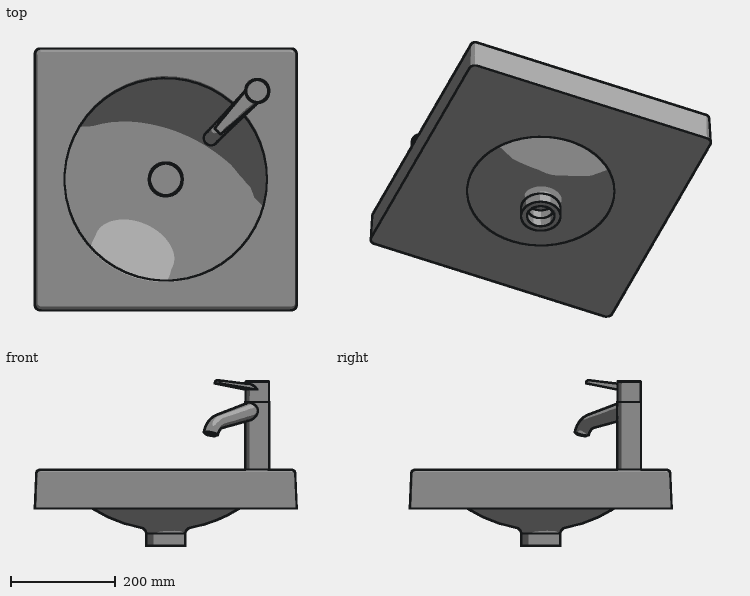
import cadquery as cq
import math


BASIN_SIDE = 500.0
BASIN_HEIGHT = 74.0
SIDE_DRAFT = 2.5
CORNER_RADIUS = 12.0
DECK_FILLET = 7.5

RIM_DIAMETER = 398.0
RIM_ROUND = 6.0
SEAT_DIAMETER = 65.0
SEAT_Z = -100.0
SHELL_CENTRE_Z = 146.0
SHELL_RADIUS = 261.0

PIPE_DIAMETER = 75.0
BORE_DIAMETER = 52.0
NECK_TOP_RADIUS = 47.0
PIPE_TOP_Z = -122.0
PIPE_BOTTOM_Z = -145.0
STOPPER_TOP_DIAMETER = 60.0
STOPPER_WALL = 1.5
STOPPER_BEVEL_HEIGHT = 2.0
STOPPER_DOME_HEIGHT = 3.0

TAP_X = 174.5
TAP_Y = 168.5
TAP_HEADING = 225.5
COLUMN_DIAMETER = 46.0
CAP_DIAMETER = 45.0
CAP_BOTTOM_Z = 129.0
TAP_TOP_Z = 169.0
CAP_CHAMFER = 1.5

SPOUT_ROOT_DIAMETER = 35.0
SPOUT_DIAMETER = 27.5
SPOUT_ROOT_Z = 116.0
ELBOW_START_REACH = 101.5
ELBOW_START_Z = 92.5
ELBOW_END_REACH = 126.5
ELBOW_END_Z = 69.0
AERATOR_DIAMETER = 20.0
AERATOR_LENGTH = 6.5
AERATOR_PROJECTION = 2.5

LEVER_ROOT_WIDTH = 35.0
LEVER_TIP_WIDTH = 16.0
LEVER_ROOT_THICKNESS = 11.0
LEVER_TIP_THICKNESS = 6.5
LEVER_ROOT_Z = 150.5
LEVER_REACH = 108.0
LEVER_TOP_Z = 171.0

spout_drop = ELBOW_START_Z - SPOUT_ROOT_Z
arm_length = math.hypot(ELBOW_START_REACH, spout_drop)
arm_angle = math.atan2(spout_drop, ELBOW_START_REACH)
arm_direction = cq.Vector(math.cos(arm_angle), 0, math.sin(arm_angle))
chord_angle = math.atan2(ELBOW_END_Z - ELBOW_START_Z, ELBOW_END_REACH - ELBOW_START_REACH)
outlet_angle = 2 * chord_angle - arm_angle
outlet_direction = cq.Vector(math.cos(outlet_angle), 0, math.sin(outlet_angle))
elbow_start = cq.Vector(ELBOW_START_REACH, 0, ELBOW_START_Z)
elbow_end = cq.Vector(ELBOW_END_REACH, 0, ELBOW_END_Z)


def sphere_depth(radius):
    """Height of the bowl's spherical underside at a distance from its axis."""
    return SHELL_CENTRE_Z - math.sqrt(SHELL_RADIUS**2 - radius**2)


def place_tap(part):
    """Turn a part built along +X about the Z axis to its place on the deck."""
    return part.rotate((0, 0, 0), (0, 0, 1), TAP_HEADING).translate((TAP_X, TAP_Y, 0))


def spin(profile):
    """Revolve a closed radius-height profile about the Z axis."""
    return profile.close().revolve(360, (0, 0, 0), (0, 1, 0))


def make_block():
    footprint = cq.Sketch().rect(BASIN_SIDE, BASIN_SIDE).vertices().fillet(CORNER_RADIUS)
    block = cq.Workplane("XY", origin=(0, 0, -BASIN_HEIGHT)).placeSketch(footprint)
    return block.extrude(BASIN_HEIGHT, taper=SIDE_DRAFT).faces(">Z").edges().fillet(DECK_FILLET)


def make_underside():
    """Dome below the block, curving into the neck above the drain pipe."""
    top_z = -BASIN_HEIGHT / 2
    top_radius = math.sqrt(SHELL_RADIUS**2 - (SHELL_CENTRE_Z - top_z) ** 2)
    middle_radius = (top_radius + NECK_TOP_RADIUS) / 2
    pipe_radius = PIPE_DIAMETER / 2
    profile = (
        cq.Workplane("XZ")
        .moveTo(0, top_z)
        .lineTo(top_radius, top_z)
        .threePointArc(
            (middle_radius, sphere_depth(middle_radius)),
            (NECK_TOP_RADIUS, sphere_depth(NECK_TOP_RADIUS)),
        )
        .tangentArcPoint((pipe_radius, PIPE_TOP_Z), relative=False)
        .lineTo(0, PIPE_TOP_Z)
    )
    return spin(profile)


def make_bowl_cavity():
    """Spherical hollow with a rounded rim, a flat stopper seat and the drain bore."""
    rim_radius = RIM_DIAMETER / 2
    wall_radius = rim_radius - RIM_ROUND
    seat_radius = SEAT_DIAMETER / 2
    bore_radius = BORE_DIAMETER / 2
    centre_z = (wall_radius**2 + RIM_ROUND**2 - seat_radius**2 - SEAT_Z**2) / (2 * (-RIM_ROUND - SEAT_Z))
    wall_arc_radius = math.hypot(seat_radius, SEAT_Z - centre_z)
    middle_radius = (wall_radius + seat_radius) / 2
    middle_z = centre_z - math.sqrt(wall_arc_radius**2 - middle_radius**2)
    round_offset = RIM_ROUND * (1 - math.sqrt(0.5))
    profile = (
        cq.Workplane("XZ")
        .moveTo(0, PIPE_TOP_Z)
        .lineTo(bore_radius, PIPE_TOP_Z)
        .lineTo(bore_radius, SEAT_Z)
        .lineTo(seat_radius, SEAT_Z)
        .threePointArc((middle_radius, middle_z), (wall_radius, -RIM_ROUND))
        .threePointArc((wall_radius + round_offset, -round_offset), (rim_radius, 0))
        .lineTo(0, 0)
    )
    return spin(profile)


def make_basin():
    return make_block().union(make_underside()).cut(make_bowl_cavity())


def make_drain_pipe():
    pipe = cq.Workplane("XY", origin=(0, 0, PIPE_BOTTOM_Z))
    return pipe.circle(PIPE_DIAMETER / 2).circle(BORE_DIAMETER / 2).extrude(PIPE_TOP_Z - PIPE_BOTTOM_Z)


def make_stopper():
    """Bevelled disc with a domed top, resting on the bowl seat."""
    base_radius = SEAT_DIAMETER / 2
    top_radius = STOPPER_TOP_DIAMETER / 2
    wall_z = SEAT_Z + STOPPER_WALL
    bevel_z = wall_z + STOPPER_BEVEL_HEIGHT
    apex_z = bevel_z + STOPPER_DOME_HEIGHT
    dome_radius = (top_radius**2 + STOPPER_DOME_HEIGHT**2) / (2 * STOPPER_DOME_HEIGHT)
    profile = (
        cq.Workplane("XZ")
        .moveTo(0, SEAT_Z)
        .lineTo(base_radius, SEAT_Z)
        .lineTo(base_radius, wall_z)
        .lineTo(top_radius, bevel_z)
        .radiusArc((0, apex_z), -dome_radius)
    )
    return spin(profile)


def make_aerator():
    """Short plug held in the spout outlet and standing slightly out of it."""
    start = elbow_end - outlet_direction * (AERATOR_LENGTH - AERATOR_PROJECTION)
    plug = cq.Solid.makeCylinder(AERATOR_DIAMETER / 2, AERATOR_LENGTH, start, outlet_direction)
    return cq.Workplane(plug)


def make_column():
    """Upright column with its tapered arm and curved outlet."""
    column = cq.Workplane("XY").circle(COLUMN_DIAMETER / 2).extrude(CAP_BOTTOM_Z)
    arm = cq.Solid.makeCone(
        SPOUT_ROOT_DIAMETER / 2,
        SPOUT_DIAMETER / 2,
        arm_length,
        cq.Vector(0, 0, SPOUT_ROOT_Z),
        arm_direction,
    )
    path = cq.Workplane(cq.Edge.makeTangentArc(elbow_start, arm_direction, elbow_end))
    section = cq.Plane(origin=elbow_start.toTuple(), xDir=(0, 1, 0), normal=arm_direction.toTuple())
    elbow = cq.Workplane(section).circle(SPOUT_DIAMETER / 2).sweep(path)
    arm_size = (ELBOW_END_REACH, COLUMN_DIAMETER, CAP_BOTTOM_Z)
    arm_side = cq.Workplane("XY").box(*arm_size, centered=(False, True, False))
    arm = arm_side.intersect(cq.Workplane(arm))
    return column.union(arm).union(elbow).cut(make_aerator())


def make_lever():
    """Tapered handle, flat below and rounded above."""
    tip_z = LEVER_TOP_Z - LEVER_TIP_THICKNESS
    return (
        cq.Workplane("YZ", origin=(0, 0, LEVER_ROOT_Z))
        .moveTo(-LEVER_ROOT_WIDTH / 2, 0)
        .threePointArc((0, LEVER_ROOT_THICKNESS), (LEVER_ROOT_WIDTH / 2, 0))
        .close()
        .workplane(offset=LEVER_REACH)
        .moveTo(-LEVER_TIP_WIDTH / 2, tip_z - LEVER_ROOT_Z)
        .threePointArc((0, LEVER_TOP_Z - LEVER_ROOT_Z), (LEVER_TIP_WIDTH / 2, tip_z - LEVER_ROOT_Z))
        .close()
        .loft(ruled=True)
    )


def make_cap():
    """Turning cap on top of the column, with its lever."""
    cap = cq.Workplane("XY", origin=(0, 0, CAP_BOTTOM_Z)).circle(CAP_DIAMETER / 2)
    cap = cap.extrude(TAP_TOP_Z - CAP_BOTTOM_Z).faces(">Z").edges().chamfer(CAP_CHAMFER)
    return cap.union(make_lever())


basin = make_basin()
drain_pipe = make_drain_pipe()
stopper = make_stopper()
column = place_tap(make_column())
cap = place_tap(make_cap())
aerator = place_tap(make_aerator())

result = cq.Compound.makeCompound(
    [basin.val(), drain_pipe.val(), stopper.val(), column.val(), cap.val(), aerator.val()]
)